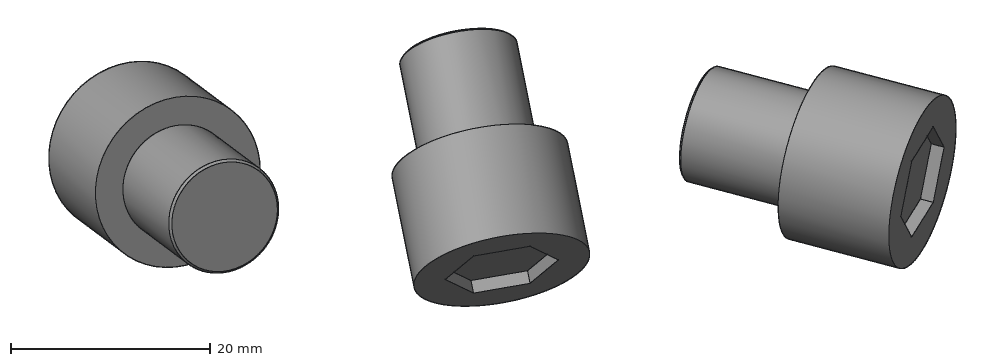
import cadquery as cq
import math

total_length = 24.0
head_length = total_length / 2
head_diameter = 18.0
shank_diameter = 12.0
end_chamfer = 0.25
socket_across_flats = 10.0
socket_depth = 1.4

shank_length = total_length - head_length
socket_across_corners = socket_across_flats / math.cos(math.radians(30))

head = cq.Workplane("YZ").circle(head_diameter / 2).extrude(head_length)

shank = (
    cq.Workplane("YZ", origin=(head_length, 0, 0))
    .circle(shank_diameter / 2)
    .extrude(shank_length)
    .faces(">X")
    .chamfer(end_chamfer)
)

socket = cq.Workplane("YZ").polygon(6, socket_across_corners).extrude(socket_depth)

result = head.union(shank).cut(socket)